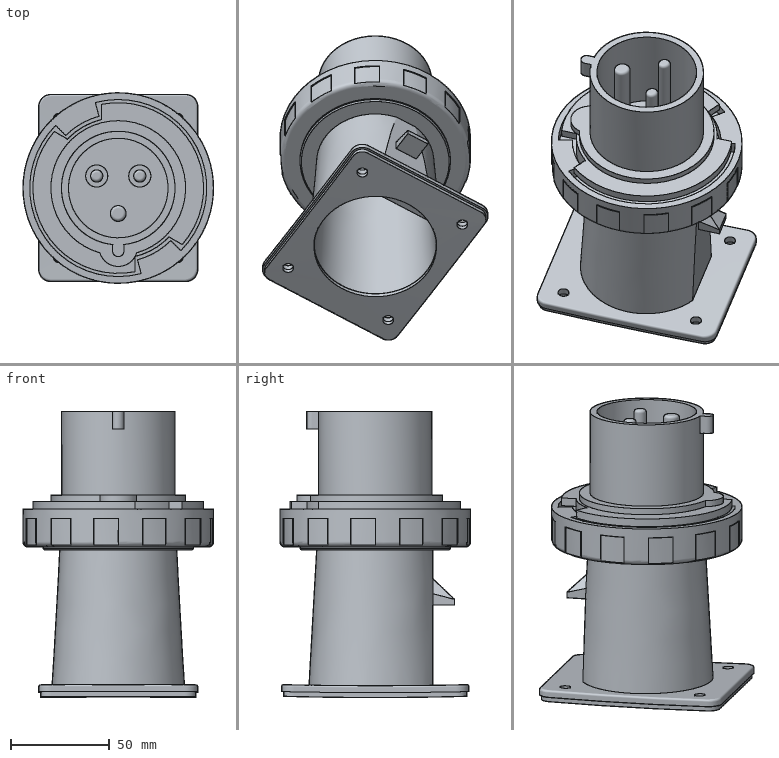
import cadquery as cq
import math


FLANGE_X = 80.6
FLANGE_Y = 94.8
FLANGE_CORNER_R = 6.3
FLANGE_EDGE_ROUND = 1.1
FLANGE_THICKNESS = 3.55
GASKET_THICKNESS = 2.45
GASKET_INSET = 1.0
BOW_R = 1730.0
SCREW_SPACING_X = 60.0
SCREW_SPACING_Y = 70.0
SCREW_HOLE_D = 5.4

FLANGE_MID_Z = GASKET_THICKNESS + FLANGE_THICKNESS
COLLAR_BOTTOM_Z = 74.7
RING_BOTTOM_Z = 76.3
RING_TOP_Z = 95.4
LOBE_TOP_Z = 99.4
SHOULDER_TOP_Z = 102.5
PLUG_TOP_Z = 144.87

BODY_BOTTOM_R = 33.7
BODY_TOP_R = 29.7
BODY_BACK_Y = 29.2
BODY_WALL = 2.7
BODY_START_Z = GASKET_THICKNESS + FLANGE_THICKNESS / 2
SOCKET_FLOOR_THICKNESS = 5.0

HOOK_WIDTH = 12.0
HOOK_TIP_Y = 40.2
HOOK_BOTTOM_Z = 46.8
HOOK_TIP_Z = 49.7
HOOK_SIDE_Z = 52.6
HOOK_PEAK_Z = 60.2

COLLAR_R = 38.1
COLLAR_CHAMFER = 0.7
NECK_R = 35.7
LOBE_R = 43.2
LOBE_EDGE_OFFSET = 8.6
NOTCH_HALF_ANGLE = 30.0
NOTCH_DIRECTIONS = (-60.0, 120.0)
SHOULDER_R = 34.1
SHOULDER_LUG_R = 9.7
SHOULDER_LUG_Y = -30.0

SLEEVE_R = 28.75
SOCKET_R = 25.2
KEY_WIDTH = 5.8
KEY_TIP_Y = -34.7
KEY_HEIGHT = 9.0
PHASE_PIN_R = 3.1
PHASE_PIN_X = 10.9
PHASE_PIN_Y = 6.1
PHASE_PIN_SETBACK = 1.8
PHASE_RECESS_R = 5.6
PHASE_RECESS_DEPTH = 1.0
EARTH_PIN_R = 4.0
EARTH_PIN_Y = -12.9
EARTH_PIN_SETBACK = 0.9
PIN_TIP_ROUND = 1.5

RING_R = 48.25
RING_BOTTOM_ROUND = 2.5
RING_MOUTH_R = 44.8
RING_MOUTH_DEPTH = 6.0
RING_TAB_R = 37.6
RING_TAB_ANGLE = 30.0
GRIP_COUNT = 12
GRIP_ANGLE = 360.0 / GRIP_COUNT / 2
GRIP_DEPTH = 0.5
GRIP_TOP_Z = 90.7
GRIP_START_DIRECTION = -90.0 - GRIP_ANGLE

SOCKET_FLOOR_Z = LOBE_TOP_Z
PIN_FOOT_Z = SOCKET_FLOOR_Z - PHASE_RECESS_DEPTH
HOLLOW_TOP_Z = SOCKET_FLOOR_Z - SOCKET_FLOOR_THICKNESS


def cylinder(radius, bottom_z, top_z, x=0.0, y=0.0):
    return cq.Workplane("XY", origin=(x, y, bottom_z)).circle(radius).extrude(top_z - bottom_z)


def cone(bottom_r, top_r, bottom_z, top_z):
    profile = [(0, bottom_z), (bottom_r, bottom_z), (top_r, top_z), (0, top_z)]
    return cq.Workplane("XZ").polyline(profile).close().revolve(360, (0, 0), (0, 1))


def sector(inner_r, outer_r, start_deg, sweep_deg, bottom_z, top_z):
    """Piece of a ring that starts at start_deg and turns counterclockwise by sweep_deg."""
    def at(radius, share):
        angle = math.radians(start_deg + share * sweep_deg)
        return radius * math.cos(angle), radius * math.sin(angle)

    return (
        cq.Workplane("XY", origin=(0, 0, bottom_z))
        .moveTo(*at(inner_r, 0))
        .lineTo(*at(outer_r, 0))
        .threePointArc(at(outer_r, 0.5), at(outer_r, 1))
        .lineTo(*at(inner_r, 1))
        .threePointArc(at(inner_r, 0.5), at(inner_r, 0))
        .close()
        .extrude(top_z - bottom_z)
    )


def bow_rise(y, mid_z):
    """Rise at y of the bowed surface that passes through mid_z; all such surfaces share one bend axis."""
    radius = BOW_R + GASKET_THICKNESS - mid_z
    return radius - math.sqrt(radius**2 - y**2)


def bowed_plate(size_x, size_y, corner_r, bottom_z, thickness):
    """Rounded plate whose middle line (Y = 0) lies lower than its two Y ends."""
    end_y = size_y / 2
    top_z = bottom_z + thickness
    bottom_rise = bow_rise(end_y, bottom_z)
    top_rise = bow_rise(end_y, top_z)
    return (
        cq.Workplane("YZ")
        .moveTo(-end_y, bottom_z + bottom_rise)
        .threePointArc((0, bottom_z), (end_y, bottom_z + bottom_rise))
        .lineTo(end_y, top_z + top_rise)
        .threePointArc((0, top_z), (-end_y, top_z + top_rise))
        .close()
        .extrude(size_x / 2, both=True)
        .edges("|Z")
        .fillet(corner_r)
    )


def screw_holes():
    return (
        cq.Workplane("XY")
        .rect(SCREW_SPACING_X, SCREW_SPACING_Y, forConstruction=True)
        .vertices()
        .circle(SCREW_HOLE_D / 2)
        .extrude(2 * FLANGE_MID_Z)
    )


def make_gasket():
    plate = bowed_plate(
        FLANGE_X - 2 * GASKET_INSET,
        FLANGE_Y - 2 * GASKET_INSET,
        FLANGE_CORNER_R - GASKET_INSET,
        0,
        GASKET_THICKNESS,
    )
    opening = cylinder(BODY_BOTTOM_R - BODY_WALL, 0, FLANGE_MID_Z)
    return plate.cut(screw_holes()).cut(opening)


def flange():
    plate = bowed_plate(FLANGE_X, FLANGE_Y, FLANGE_CORNER_R, GASKET_THICKNESS, FLANGE_THICKNESS)
    return plate.faces(">Z").edges().fillet(FLANGE_EDGE_ROUND).cut(screw_holes())


def behind(y):
    """Large block that fills everything beyond the given Y."""
    block = cq.Workplane("XY").box(2 * RING_R, RING_R, PLUG_TOP_Z, centered=(True, False, False))
    return block.translate((0, y, 0))


def tapered_body():
    body = cone(BODY_BOTTOM_R, BODY_TOP_R, BODY_START_Z, COLLAR_BOTTOM_Z)
    return body.cut(behind(BODY_BACK_Y))


def body_hollow():
    hollow = cone(BODY_BOTTOM_R - BODY_WALL, BODY_TOP_R - BODY_WALL, 0, HOLLOW_TOP_Z)
    return hollow.cut(behind(BODY_BACK_Y - BODY_WALL))


def hook():
    """Block with a flat base and a three-sided sloping top that peaks at the body."""
    half = HOOK_WIDTH / 2
    peak = (0, BODY_BACK_Y, HOOK_PEAK_Z)
    left, right = [
        {
            "base": (x, BODY_BACK_Y, HOOK_BOTTOM_Z),
            "base_tip": (x, HOOK_TIP_Y, HOOK_BOTTOM_Z),
            "tip": (x, HOOK_TIP_Y, HOOK_TIP_Z),
            "side": (x, BODY_BACK_Y, HOOK_SIDE_Z),
        }
        for x in (-half, half)
    ]
    outlines = [
        [left["base"], left["base_tip"], right["base_tip"], right["base"]],
        [left["base"], right["base"], right["side"], peak, left["side"]],
        [left["base_tip"], left["tip"], right["tip"], right["base_tip"]],
        [left["tip"], peak, right["tip"]],
    ]
    for side in (left, right):
        outlines.append([side["base"], side["base_tip"], side["tip"], side["side"]])
        outlines.append([side["tip"], side["side"], peak])
    faces = [
        cq.Face.makeFromWires(cq.Wire.makePolygon([cq.Vector(*p) for p in outline], close=True))
        for outline in outlines
    ]
    return cq.Workplane(cq.Solid.makeSolid(cq.Shell.makeShell(faces)))


def notch_cutter(direction):
    """Wedge between two lobes, narrow near the plug axis and wide at the rim."""
    tilt = math.radians(NOTCH_HALF_ANGLE)
    start = NECK_R / 2
    end = RING_R

    def half_width(distance):
        return (distance * math.sin(tilt) - LOBE_EDGE_OFFSET) / math.cos(tilt)

    outline = [
        (start, -half_width(start)),
        (end, -half_width(end)),
        (end, half_width(end)),
        (start, half_width(start)),
    ]
    wedge = cq.Workplane("XY", origin=(0, 0, RING_TOP_Z)).polyline(outline).close()
    return wedge.extrude(LOBE_TOP_Z - RING_TOP_Z).rotate((0, 0, 0), (0, 0, 1), direction)


def lobed_disc():
    disc = cylinder(LOBE_R, RING_TOP_Z, LOBE_TOP_Z)
    for direction in NOTCH_DIRECTIONS:
        disc = disc.cut(notch_cutter(direction))
    return disc


def shoulder():
    lug = cylinder(SHOULDER_LUG_R, LOBE_TOP_Z, SHOULDER_TOP_Z, y=SHOULDER_LUG_Y)
    return cylinder(SHOULDER_R, LOBE_TOP_Z, SHOULDER_TOP_Z).union(lug)


def key():
    """Rounded rib at the sleeve rim on the -Y side."""
    inner_y = -(SLEEVE_R + SOCKET_R) / 2
    round_y = KEY_TIP_Y + KEY_WIDTH / 2
    half = KEY_WIDTH / 2
    return (
        cq.Workplane("XY", origin=(0, 0, PLUG_TOP_Z - KEY_HEIGHT))
        .moveTo(-half, inner_y)
        .lineTo(-half, round_y)
        .threePointArc((0, KEY_TIP_Y), (half, round_y))
        .lineTo(half, inner_y)
        .close()
        .extrude(KEY_HEIGHT)
    )


def pin(radius, x, y, setback):
    """Contact pin with a rounded tip, footed at the depth of the phase recesses."""
    body = cylinder(radius, PIN_FOOT_Z, PLUG_TOP_Z - setback, x, y)
    return body.faces(">Z").edges().fillet(PIN_TIP_ROUND)


def make_housing():
    collar = cylinder(COLLAR_R, COLLAR_BOTTOM_Z, RING_BOTTOM_Z).faces("<Z").chamfer(COLLAR_CHAMFER)
    housing = (
        flange()
        .union(tapered_body())
        .union(hook())
        .union(collar)
        .union(cylinder(NECK_R, RING_BOTTOM_Z, LOBE_TOP_Z))
        .union(lobed_disc())
        .union(shoulder())
        .union(cylinder(SLEEVE_R, SHOULDER_TOP_Z, PLUG_TOP_Z))
        .union(key())
        .cut(body_hollow())
        .cut(cylinder(SOCKET_R, SOCKET_FLOOR_Z, PLUG_TOP_Z))
    )
    for x in (-PHASE_PIN_X, PHASE_PIN_X):
        housing = housing.cut(cylinder(PHASE_RECESS_R, PIN_FOOT_Z, SOCKET_FLOOR_Z, x, PHASE_PIN_Y))
        housing = housing.union(pin(PHASE_PIN_R, x, PHASE_PIN_Y, PHASE_PIN_SETBACK))
    return housing.union(pin(EARTH_PIN_R, 0, EARTH_PIN_Y, EARTH_PIN_SETBACK))


def make_ring():
    mouth_floor_z = RING_TOP_Z - RING_MOUTH_DEPTH
    ring = (
        cylinder(RING_R, RING_BOTTOM_Z, RING_TOP_Z)
        .faces("<Z")
        .edges()
        .fillet(RING_BOTTOM_ROUND)
        .cut(cylinder(NECK_R, RING_BOTTOM_Z, RING_TOP_Z))
        .cut(cylinder(RING_MOUTH_R, mouth_floor_z, RING_TOP_Z))
    )
    tab_outer_r = (RING_MOUTH_R + RING_R) / 2
    for direction in NOTCH_DIRECTIONS:
        start = direction - RING_TAB_ANGLE / 2
        ring = ring.union(sector(RING_TAB_R, tab_outer_r, start, RING_TAB_ANGLE, mouth_floor_z, RING_TOP_Z))
    for index in range(GRIP_COUNT):
        start = GRIP_START_DIRECTION + index * 2 * GRIP_ANGLE
        ring = ring.cut(
            sector(RING_R - GRIP_DEPTH, RING_R + GRIP_DEPTH, start, GRIP_ANGLE, RING_BOTTOM_Z, GRIP_TOP_Z)
        )
    return ring


housing = make_housing()
ring = make_ring()
gasket = make_gasket()

result = cq.Compound.makeCompound([*housing.solids().vals(), *ring.solids().vals(), *gasket.solids().vals()])